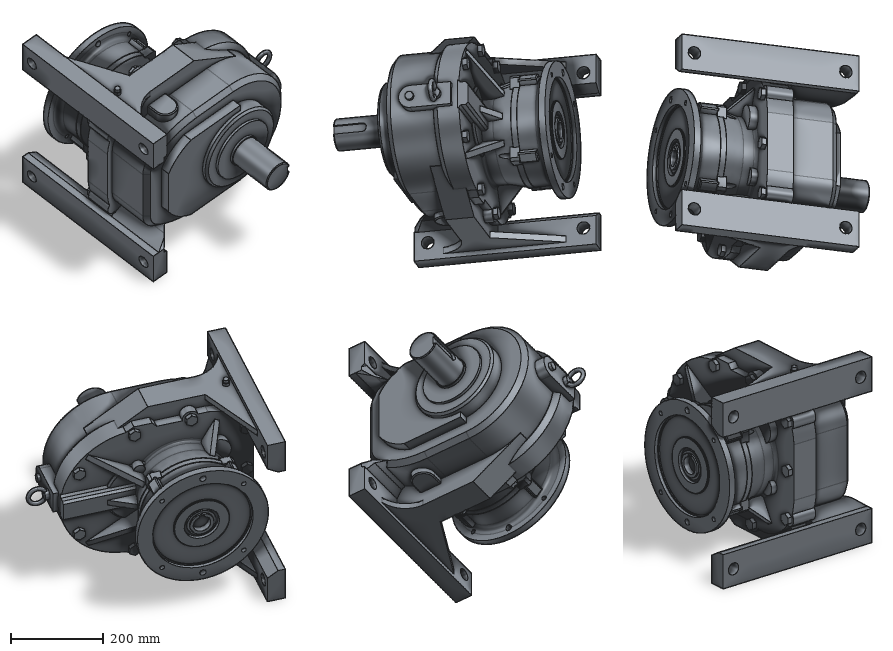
import cadquery as cq
import math


OVERLAP = 2.5

FLANGE_D = 300.0
FLANGE_T = 15.0
SPIGOT_D = 230.0
SPIGOT_DEPTH = 11.5
SPIGOT_LEDGE_D = 223.5
SPIGOT_LEDGE_DEPTH = 8.5
HUB_D = 128.0
HUB_X = 7.5
HUB_CHAMFER = 1.5
HUB_RECESS_D = 80.0
HUB_RECESS_X = 15.5
SLEEVE_D = 66.5
SLEEVE_STEP_D = 55.0
SLEEVE_X = 10.5
SLEEVE_STEP_X = 6.0
BORE_D = 39.5
BORE_DEPTH = 21.0
BORE_KEY_W = 11.0
BORE_KEY_TOP = 23.5
FLANGE_BOLT_R = 132.0
BIG_BOLT_D = 14.0
SMALL_BOLT_D = 10.5
NECK_R = 119.0
NECK_FILLET = 15.0
COLLAR_X = 72.0
COLLAR_R = 120.5
CONE_X0 = 85.5
CONE_X1 = 129.0
NECK_END_R = 108.0
NECK_ROOT_FILLET = 8.0
PAD_HALF = 99.0
PAD_CHAMFER = 6.0
PAD_END_X = 93.0
PAD_GAP_HALF = 67.0
RIDGE_X = 33.0
RIDGE_R = 132.5
RIDGE_W = 24.5
RIDGE_CHAMFER = 2.5
NOTCH_R = 7.0
NOTCH_CENTRE_R = 116.5

COVER_X = 161.0
TAPER_X = 210.0
BODY_X0 = 222.0
BODY_X1 = 329.5
BODY_CHAMFER = 11.5
BODY_R = 156.0
BODY_LOW_Y = -6.0
BODY_FLAT_Y = -156.0
BODY_CORNER_R = 62.5
DOME_Y = 104.0
DOME_R = 169.0
FLAT_Y = -170.0
COVER_SIDE_END_Y = -65.5
COVER_CORNER = (-122.0, 156.0)
COVER_SIDE_Z = 177.0
COVER_WAIST_Z = 167.0
COVER_EAR_Z = 179.0
FLAT_HALF = 66.0
BOLT_BOSS_R = 18.5
HEX_AC = 28.0
HEX_H = 10.5
COVER_BOLTS = [(231.0, 84.0), (104.5, 160.5), (-25.5, 169.5), (-150.5, 114.5)]
BOSSED_BOLTS = COVER_BOLTS[2:]
MID_BOLT_Y = -153.0

RIB_HALF = 7.0
RIB_X0 = 105.5
RIB_FOOT_R = 114.5
LONG_RIB_R = 244.5
LONG_RIB_ANGLE = 30
SHORT_RIB_R = 172.5
SHORT_RIB_ANGLE = 120
MID_RIB_R = 171.5
SPINE_X = 140.0
SPINE_HALF = 26.5
SPINE_ROOT_HALF = 31.5
SPINE_BEVEL = 5.0
SPINE_TOP = 273.0

BEARING_CAP_R = 78.0
BEARING_CAP_T = 6.0
BEARING_CAP_CHAMFER = 4.5
OUT_Y = 94.0
OUT_BOSS_D = 206.0
OUT_BOSS_X = 365.0
OUT_BOSS_CHAMFER = 5.0
RING_D = 150.0
RING_X = 371.5
COLLAR_D = 75.0
SHAFT_COLLAR_X = 377.0
SHAFT_D = 70.0
SHAFT_END_X = 482.0
SHAFT_CHAMFER = 2.0
SHAFT_KEY_W = 20.0
SHAFT_KEY_DEPTH = 7.5
SHAFT_KEY_X = 407.5
END_PLATE_X = 352.0
END_PLATE_R = 126.5
END_PLATE_Y0 = -111.0
END_PLATE_HALF_Z = 118.5
END_PLATE_Y1 = 104.5

RAIL_X0 = -38.0
RAIL_X1 = 371.5
RAIL_BASE_Y = -176.0
RAIL_TOP_Y = -134.5
RAIL_IN_Z = 139.0
RAIL_OUT_Z = 220.0
RAIL_BEVEL_Y = 24.5
RAIL_BEVEL_Z = 15.0
RAIL_HOLE_D = 28.0
RAIL_HOLE_X = [-9.5, 340.5]
RAIL_HOLE_Z = 180.0
BRACKET_X0 = 182.0
BRACKET_X1 = 247.5
BRACKET_Z = 209.0
BRACKET_TOP_Y = 65.5
BRACKET_TIP = (190.5, 131.0)
GUSSET_T = 14.5
GUSSET_Y = -66.0
WEB_TOP = (-122.5, 133.0)
WEB_BASE = (-120.5, 124.0)
WEB_ROOT = (-102.0, 119.5)
WEB_SLANT_Y = -143.0
WEB_SLANT_TIP = (333.0, 109.0)

LIFT_PAD_X0 = 177.0
LIFT_PAD_X1 = 293.5
LIFT_PAD_HALF = 25.5
LIFT_PAD_Y = 284.0
EYE_X = 209.5
EYE_Y = 309.5
EYE_R = 20.5
EYE_WIRE_R = 4.5
EYE_SEAT_D = 24.0
EYE_SEAT_H = 10.5
PLUG_D = 18.0
PLUG_H = 7.5
VENT_X = 201.0
VENT_Y = -120.0
VENT_D = 15.5
VENT_H = 7.5
VENT_CAP_D = 12.0
VENT_TOP_Z = 224.0
SIDE_PAD_Y = -46.5
SIDE_PAD_R = 27.5
SIDE_PAD_X = 301.0
SIDE_PAD_Z = 169.5
SIDE_PAD_EDGE = 2.5
NECK_BOSSES = [(97.0, 69.5, 13.5, 142.5), (-80.5, 77.0, 31.5, 142.0), (-91.0, -57.0, 19.0, 146.5)]


def yz(x):
    """Sketch plane across the axes at x: local x is Y, local y is Z."""
    return cq.Workplane("YZ", origin=(x, 0, 0))


def disc(x0, x1, radius, y=0, z=0):
    return yz(x0).center(y, z).circle(radius).extrude(x1 - x0)


def block(x0, x1, y0, y1, z0, z1):
    return cq.Workplane("XY").box(x1 - x0, y1 - y0, z1 - z0, centered=False).translate((x0, y0, z0))


def mirrored(shape):
    return shape.union(shape.mirror("XY"))


def around(shape, angle):
    """Turn a piece built at Z = 0, Y > 0 about the input axis."""
    return shape.rotate((0, 0, 0), (1, 0, 0), angle)


def make_neck():
    flange_r = FLANGE_D / 2
    blend = NECK_FILLET * (1 - math.sqrt(0.5))
    root_x = COVER_X - NECK_ROOT_FILLET
    root_r = NECK_END_R + NECK_ROOT_FILLET
    root_blend = NECK_ROOT_FILLET * (1 - math.sqrt(0.5))
    profile = (
        cq.Workplane("XY")
        .lineTo(0, flange_r)
        .lineTo(FLANGE_T, flange_r)
        .lineTo(FLANGE_T, NECK_R + NECK_FILLET)
        .threePointArc((FLANGE_T + blend, NECK_R + blend), (FLANGE_T + NECK_FILLET, NECK_R))
        .lineTo(COLLAR_X, NECK_R)
        .lineTo(COLLAR_X, COLLAR_R)
        .lineTo(CONE_X0, COLLAR_R)
        .lineTo(CONE_X0, NECK_R)
        .lineTo(CONE_X1, NECK_END_R)
        .lineTo(root_x, NECK_END_R)
        .threePointArc((COVER_X - root_blend, NECK_END_R + root_blend), (COVER_X, root_r))
        .lineTo(COVER_X + OVERLAP, root_r)
        .lineTo(COVER_X + OVERLAP, 0)
        .close()
    )
    neck = profile.revolve(360, (0, 0, 0), (1, 0, 0))

    ridge = block(RIDGE_X, COLLAR_X + OVERLAP, 0, RIDGE_R, -RIDGE_W / 2, RIDGE_W / 2)
    ridge = ridge.faces(">Y").edges("|X or <X").chamfer(RIDGE_CHAMFER)
    notch = disc(PAD_END_X, CONE_X1, NOTCH_R, NOTCH_CENTRE_R)
    side = 2 * PAD_HALF
    pads = block(COLLAR_X, PAD_END_X, -PAD_HALF, PAD_HALF, -PAD_HALF, PAD_HALF)
    pads = pads.edges("|X").chamfer(PAD_CHAMFER)
    gap = 2 * PAD_GAP_HALF
    pad_depth = PAD_END_X - COLLAR_X
    pads = pads.cut(yz(COLLAR_X).rect(side, gap).extrude(pad_depth))
    pads = pads.cut(yz(COLLAR_X).rect(gap, side).extrude(pad_depth))
    for angle in (45, 135, 225, 315):
        neck = neck.union(around(ridge, angle)).cut(around(notch, angle))
    return neck.union(pads)


def cut_input_face(body):
    body = body.cut(disc(0, SPIGOT_LEDGE_DEPTH, SPIGOT_D / 2))
    body = body.cut(disc(0, SPIGOT_DEPTH, SPIGOT_LEDGE_D / 2))
    hub = disc(HUB_X, HUB_RECESS_X + OVERLAP, HUB_D / 2).faces("<X").edges().chamfer(HUB_CHAMFER)
    body = body.union(hub)
    body = body.cut(disc(0, HUB_RECESS_X, HUB_RECESS_D / 2))
    body = body.union(disc(SLEEVE_X, HUB_RECESS_X + OVERLAP, SLEEVE_D / 2))
    body = body.union(disc(SLEEVE_STEP_X, HUB_RECESS_X, SLEEVE_STEP_D / 2))
    body = body.cut(disc(0, BORE_DEPTH, BORE_D / 2))
    body = body.cut(block(0, BORE_DEPTH, -BORE_KEY_W / 2, BORE_KEY_W / 2, 0, BORE_KEY_TOP))
    for angle in (45, 90, 135, 225, 270, 315):
        diameter = BIG_BOLT_D if angle % 90 == 0 else SMALL_BOLT_D
        body = body.cut(around(disc(0, FLANGE_T + OVERLAP, diameter / 2, FLANGE_BOLT_R), angle))
    return body


def make_rim():
    """Cover and housing rim: large round end, ears at the bolts, flat side at -Y."""
    ear_start = 122.0
    ear_start_z = math.sqrt(DOME_R**2 - (ear_start - DOME_Y)**2)
    ear_top_end = 62.5
    ear_end = 52.0
    dome_mid = DOME_R * math.sqrt(0.5)
    waist_end = BOSSED_BOLTS[0][0]
    half = (
        yz(COVER_X)
        .moveTo(DOME_Y + DOME_R, 0)
        .threePointArc((DOME_Y + dome_mid, dome_mid), (ear_start, ear_start_z))
        .lineTo(DOME_Y, COVER_EAR_Z)
        .lineTo(ear_top_end, COVER_EAR_Z)
        .lineTo(ear_end, COVER_WAIST_Z)
        .lineTo(waist_end, COVER_WAIST_Z)
        .lineTo(waist_end, COVER_SIDE_Z)
        .lineTo(COVER_SIDE_END_Y, COVER_SIDE_Z)
        .threePointArc(COVER_CORNER, (FLAT_Y, FLAT_HALF))
        .lineTo(FLAT_Y, 0)
        .close()
        .extrude(BODY_X0 - COVER_X)
    )
    for y, z in BOSSED_BOLTS:
        half = half.union(disc(COVER_X, BODY_X0, BOLT_BOSS_R, y, z))

    taper = BODY_X0 - TAPER_X
    keep = disc(COVER_X, BODY_X0, DOME_R, DOME_Y).faces(">X").edges().chamfer(taper)
    upper = block(TAPER_X, BODY_X0, ear_start, DOME_Y + 2 * DOME_R, 0, 2 * DOME_R)
    half = half.cut(upper.cut(keep))
    return mirrored(half)


def make_body():
    corner_y = BODY_FLAT_Y + BODY_CORNER_R
    run = BODY_LOW_Y - corner_y
    rise = BODY_R - FLAT_HALF
    wide_r = (run**2 + rise**2 - BODY_CORNER_R**2) / (2 * (rise - BODY_CORNER_R))
    reach = BODY_CORNER_R / (wide_r - BODY_CORNER_R)
    join = (corner_y - reach * run, FLAT_HALF + reach * (wide_r - rise))
    mid = BODY_R * math.sqrt(0.5)
    half = (
        yz(TAPER_X)
        .moveTo(DOME_Y + BODY_R, 0)
        .threePointArc((DOME_Y + mid, mid), (DOME_Y, BODY_R))
        .lineTo(BODY_LOW_Y, BODY_R)
        .tangentArcPoint(join, relative=False)
        .tangentArcPoint((BODY_FLAT_Y, FLAT_HALF), relative=False)
        .lineTo(BODY_FLAT_Y, 0)
        .close()
        .extrude(BODY_X1 - TAPER_X)
    )
    body = mirrored(half).clean()
    return body.faces(">X").edges().chamfer(BODY_CHAMFER)


def make_ribs():
    def rib(x0, tip_r, tip_x):
        profile = [
            (x0, RIB_FOOT_R), (tip_x, tip_r), (COVER_X + OVERLAP, tip_r),
            (COVER_X + OVERLAP, 0), (x0, 0),
        ]
        return cq.Workplane("XY").polyline(profile).close().extrude(RIB_HALF, both=True)

    ribs = rib(RIB_X0, MID_RIB_R, SPINE_X)
    for angle, tip_r in ((LONG_RIB_ANGLE, LONG_RIB_R), (SHORT_RIB_ANGLE, SHORT_RIB_R)):
        for side in (1, -1):
            ribs = ribs.union(around(rib(RIB_X0, tip_r, COVER_X), side * angle))
    spine = (
        cq.Workplane("XZ")
        .polyline([
            (COVER_X + OVERLAP, 0), (COVER_X + OVERLAP, SPINE_ROOT_HALF), (COVER_X, SPINE_ROOT_HALF),
            (COVER_X - SPINE_BEVEL, SPINE_HALF), (SPINE_X + SPINE_BEVEL, SPINE_HALF),
            (SPINE_X, SPINE_HALF - SPINE_BEVEL), (SPINE_X, 0),
        ])
        .close()
        .extrude(-SPINE_TOP)
    )
    return ribs.union(mirrored(spine))


def make_output():
    shoulder_y = -math.sqrt(END_PLATE_R**2 - END_PLATE_HALF_Z**2)
    flat_half = math.sqrt(END_PLATE_R**2 - END_PLATE_Y0**2)
    corner = END_PLATE_R * math.sqrt(0.5)
    plate = mirrored(
        yz(BODY_X0)
        .moveTo(END_PLATE_Y1, 0)
        .lineTo(END_PLATE_Y1, END_PLATE_HALF_Z)
        .lineTo(shoulder_y, END_PLATE_HALF_Z)
        .threePointArc((-corner, corner), (END_PLATE_Y0, flat_half))
        .lineTo(END_PLATE_Y0, 0)
        .close()
        .extrude(END_PLATE_X - BODY_X0)
    )
    boss = disc(BODY_X0, OUT_BOSS_X, OUT_BOSS_D / 2, OUT_Y).faces(">X").edges().chamfer(OUT_BOSS_CHAMFER)
    ring = disc(BODY_X0, RING_X, RING_D / 2, OUT_Y)
    collar = disc(BODY_X0, SHAFT_COLLAR_X, COLLAR_D / 2, OUT_Y)
    shaft = disc(BODY_X0, SHAFT_END_X, SHAFT_D / 2, OUT_Y).faces(">X").edges().chamfer(SHAFT_CHAMFER)
    key_floor = OUT_Y + SHAFT_D / 2 - SHAFT_KEY_DEPTH
    half_key = SHAFT_KEY_W / 2
    key = block(SHAFT_KEY_X + half_key, SHAFT_END_X, key_floor, key_floor + SHAFT_D, -half_key, half_key)
    key_end = (
        cq.Workplane("XZ", origin=(SHAFT_KEY_X + half_key, key_floor, 0))
        .circle(half_key)
        .extrude(-SHAFT_D)
    )
    shaft = shaft.cut(key).cut(key_end)
    return plate.union(boss).union(ring).union(collar).union(shaft)


def make_mounts():
    rail = (
        yz(RAIL_X0)
        .polyline([
            (RAIL_BASE_Y, RAIL_IN_Z), (RAIL_BASE_Y, RAIL_OUT_Z), (RAIL_TOP_Y, RAIL_OUT_Z),
            (RAIL_TOP_Y, RAIL_IN_Z + RAIL_BEVEL_Z), (RAIL_TOP_Y - RAIL_BEVEL_Y, RAIL_IN_Z),
        ])
        .close()
        .extrude(RAIL_X1 - RAIL_X0)
    )
    for x in RAIL_HOLE_X:
        hole = cq.Workplane("XZ", origin=(x, 0, RAIL_HOLE_Z)).circle(RAIL_HOLE_D / 2).extrude(-RAIL_BASE_Y)
        rail = rail.cut(hole)

    root_y = RAIL_TOP_Y - OVERLAP
    block_half = (
        yz(BRACKET_X0)
        .polyline([
            (BRACKET_TIP[0], 0), BRACKET_TIP, (BRACKET_TOP_Y, BRACKET_Z),
            (root_y, BRACKET_Z), (root_y, RAIL_IN_Z + RAIL_BEVEL_Z), WEB_TOP, (WEB_TOP[0], 0),
        ])
        .close()
        .extrude(BRACKET_X1 - BRACKET_X0)
    )

    gusset_start = 29.5
    gusset_end = 305.0
    gusset_curve = (265.0, -110.0)
    gusset = (
        cq.Workplane("XY", origin=(0, 0, BRACKET_Z - GUSSET_T))
        .moveTo(gusset_start, root_y)
        .lineTo(gusset_start, RAIL_TOP_Y)
        .lineTo(BRACKET_X0, GUSSET_Y)
        .lineTo(BRACKET_X1, GUSSET_Y)
        .threePointArc(gusset_curve, (gusset_end, RAIL_TOP_Y))
        .lineTo(gusset_end, root_y)
        .close()
        .extrude(GUSSET_T)
    )

    bevel_foot = RAIL_TOP_Y - RAIL_BEVEL_Y
    web = (
        yz(BODY_X0)
        .polyline([
            (bevel_foot, RAIL_IN_Z), (RAIL_TOP_Y, RAIL_IN_Z + RAIL_BEVEL_Z),
            WEB_TOP, WEB_ROOT, WEB_BASE,
        ])
        .close()
        .extrude(RAIL_X1 - BODY_X0)
    )
    side = [(BODY_X0, bevel_foot), (RAIL_X1, bevel_foot), (RAIL_X1, WEB_SLANT_Y),
            (BODY_X1, WEB_ROOT[0]), (BODY_X0, WEB_ROOT[0])]
    web = web.intersect(cq.Workplane("XY").polyline(side).close().extrude(BRACKET_Z))
    front = [(BODY_X0, WEB_SLANT_TIP[1]), WEB_SLANT_TIP, (RAIL_X1, RAIL_IN_Z),
             (RAIL_X1, BRACKET_Z), (BODY_X0, BRACKET_Z)]
    web = web.intersect(cq.Workplane("XZ").polyline(front).close().extrude(-RAIL_BASE_Y))
    return mirrored(rail.union(block_half).union(gusset).union(web))


def make_bolts():
    centres = [(z, -y) for y, z in COVER_BOLTS + [(MID_BOLT_Y, 0)]]
    sketch = yz(COVER_X - HEX_H).transformed(rotate=(0, 0, 90))
    heads = sketch.pushPoints(centres).polygon(6, HEX_AC).extrude(HEX_H + OVERLAP)
    return mirrored(heads)


def make_fittings():
    plug_x = LIFT_PAD_X1 - LIFT_PAD_HALF
    lift = block(LIFT_PAD_X0, plug_x, DOME_Y, LIFT_PAD_Y, -LIFT_PAD_HALF, LIFT_PAD_HALF)
    top = cq.Workplane("XZ", origin=(0, LIFT_PAD_Y, 0))
    lift = lift.union(top.center(plug_x, 0).circle(LIFT_PAD_HALF).extrude(LIFT_PAD_Y - DOME_Y))
    lift = lift.union(top.center(EYE_X, 0).circle(EYE_SEAT_D / 2).extrude(-EYE_SEAT_H))
    lift = lift.union(top.center(plug_x, 0).circle(PLUG_D / 2).extrude(-PLUG_H))
    eye = cq.Workplane(cq.Solid.makeTorus(EYE_R, EYE_WIRE_R, cq.Vector(EYE_X, EYE_Y, 0), cq.Vector(1, 0, 0)))
    lift = lift.union(eye)

    vent_base = cq.Workplane("XY", origin=(VENT_X, VENT_Y, BRACKET_Z))
    vent = vent_base.circle(VENT_D / 2).extrude(VENT_H)
    vent = vent.union(vent_base.circle(VENT_CAP_D / 2).extrude(VENT_TOP_Z - BRACKET_Z))
    return lift.union(vent)


def make_side_pads():
    centre_x = SIDE_PAD_X - SIDE_PAD_R
    base = cq.Workplane("XY", origin=(centre_x, SIDE_PAD_Y, 0))
    pad = base.circle(SIDE_PAD_R).extrude(SIDE_PAD_Z)
    pad = pad.union(block(BODY_X0, centre_x, SIDE_PAD_Y - SIDE_PAD_R, SIDE_PAD_Y + SIDE_PAD_R, 0, SIDE_PAD_Z))
    return mirrored(pad.faces(">Z").edges().chamfer(SIDE_PAD_EDGE))


def make_bearing_cap():
    cap = disc(COVER_X - BEARING_CAP_T, COVER_X + OVERLAP, BEARING_CAP_R, OUT_Y)
    return cap.faces("<X").edges().chamfer(BEARING_CAP_CHAMFER)


result = make_neck()
for boss_y, boss_z, boss_r, boss_x in NECK_BOSSES:
    result = result.union(disc(boss_x, COVER_X + OVERLAP, boss_r, boss_y, boss_z))
for piece in (make_ribs(), make_rim(), make_body(), make_output(), make_mounts(), make_bolts(),
              make_bearing_cap(), make_fittings(), make_side_pads()):
    result = result.union(piece)
result = cut_input_face(result)